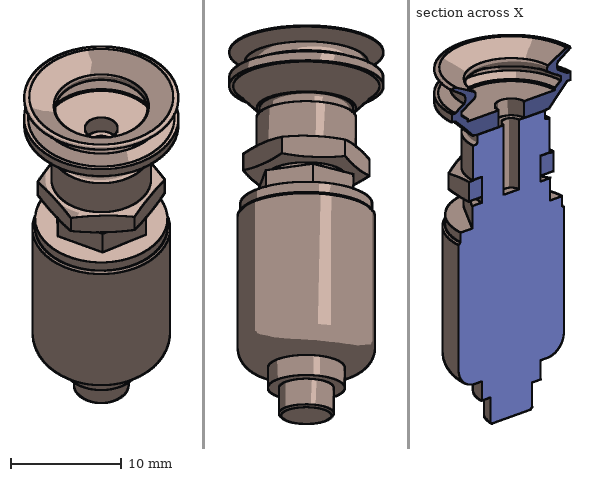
import cadquery as cq
import math

tail_top = 2.67
shoulder_top = 4.6
barrel_top = 19.38
disc_top = 20.35
hex_top = 22.6
nut_bottom = 23.13
nut_top = 25.13
collar_top = 28.65
neck_top = 29.6
cup_floor = 31.27
flange_bottom = 31.7
flange_top = 32.55
waist_bottom = 33.17
waist_top = 34.0
total_height = 35.1

tail_diameter = 5.0
tail_chamfer = 0.2
shoulder_diameter = 7.0
barrel_diameter = 12.5
barrel_bottom_fillet = 2.0
barrel_top_chamfer = 0.2
disc_diameter = 12.0
hex_across_flats = 8.0
thread_diameter = 7.0
collar_diameter = 9.05
neck_diameter = 8.0
neck_fillet = 0.25
port_diameter = 1.8
port_bottom = hex_top

nut_across_flats = 10.0
nut_chamfer_height = 0.2
nut_face_diameter = 10.1

cup_diameter = 14.0
cup_base_diameter = 9.0
cup_hole_diameter = 3.0
flange_cone_radius = 6.65
waist_end_radius = 5.58
waist_radius = 5.45
rim_round = 0.18
rim_inner_radius = 6.53
throat_top = 33.98
throat_bottom = 33.3
throat_end_radius = 4.3
throat_radius = 4.18
chamber_radius = 5.83
chamber_top = 32.43
chamber_bottom = 32.0
floor_radius = 5.12
floor_wall_height = 0.2


def cylinder(diameter, bottom, top):
    return cq.Workplane("XY").workplane(offset=bottom).circle(diameter / 2).extrude(top - bottom)


def hexagon(across_flats, bottom, top):
    """Hexagonal prism with two corners on the X axis."""
    across_corners = across_flats / math.cos(math.pi / 6)
    return cq.Workplane("XY").workplane(offset=bottom).polygon(6, across_corners).extrude(top - bottom)


def make_neck():
    """Cylinder that flares out through a concave fillet at each end."""
    radius = neck_diameter / 2
    flare_radius = radius + neck_fillet
    arc_inset = neck_fillet * (1 - math.sqrt(0.5))
    return (
        cq.Workplane("XZ")
        .moveTo(0, collar_top)
        .lineTo(flare_radius, collar_top)
        .threePointArc((radius + arc_inset, collar_top + arc_inset), (radius, collar_top + neck_fillet))
        .lineTo(radius, neck_top - neck_fillet)
        .threePointArc((radius + arc_inset, neck_top - arc_inset), (flare_radius, neck_top))
        .lineTo(0, neck_top)
        .close()
        .revolve(360, (0, 0, 0), (0, 1, 0))
    )


def make_holder():
    tail = cylinder(tail_diameter, 0, tail_top).faces("<Z").chamfer(tail_chamfer)
    shoulder = cylinder(shoulder_diameter, tail_top, shoulder_top)
    barrel = cylinder(barrel_diameter, shoulder_top, barrel_top)
    barrel = barrel.faces("<Z").edges().fillet(barrel_bottom_fillet)
    barrel = barrel.faces(">Z").edges().chamfer(barrel_top_chamfer)
    disc = cylinder(disc_diameter, barrel_top, disc_top)
    wrench_hex = hexagon(hex_across_flats, disc_top, hex_top).rotate((0, 0, 0), (0, 0, 1), 90)
    thread = cylinder(thread_diameter, hex_top, nut_top)
    collar = cylinder(collar_diameter, nut_top, collar_top)
    port = cylinder(port_diameter, port_bottom, neck_top)
    holder = tail
    for section in (shoulder, barrel, disc, wrench_hex, thread, collar, make_neck()):
        holder = holder.union(section)
    return holder.cut(port)


def make_nut():
    """Hexagonal nut with conically chamfered corners on both faces."""
    corner_radius = nut_across_flats / 2 / math.cos(math.pi / 6)
    face_radius = nut_face_diameter / 2
    chamfer_envelope = (
        cq.Workplane("XZ")
        .moveTo(0, nut_bottom)
        .lineTo(face_radius, nut_bottom)
        .lineTo(corner_radius, nut_bottom + nut_chamfer_height)
        .lineTo(corner_radius, nut_top - nut_chamfer_height)
        .lineTo(face_radius, nut_top)
        .lineTo(0, nut_top)
        .close()
        .revolve(360, (0, 0, 0), (0, 1, 0))
    )
    blank = hexagon(nut_across_flats, nut_bottom, nut_top).intersect(chamfer_envelope)
    return blank.cut(cylinder(thread_diameter, nut_bottom, nut_top))


def make_cup():
    """Bellows cup, revolved from its wall section."""
    outer_radius = cup_diameter / 2
    hole_radius = cup_hole_diameter / 2
    rim_arc_inset = rim_round * (1 - math.sqrt(0.5))
    return (
        cq.Workplane("XZ")
        .moveTo(hole_radius, neck_top)
        .lineTo(cup_base_diameter / 2, neck_top)
        .lineTo(flange_cone_radius, flange_bottom)
        .lineTo(outer_radius, flange_bottom)
        .lineTo(outer_radius, flange_top)
        .lineTo(flange_cone_radius, flange_top)
        .lineTo(waist_end_radius, waist_bottom)
        .threePointArc((waist_radius, (waist_bottom + waist_top) / 2), (waist_end_radius, waist_top))
        .lineTo(outer_radius, total_height - rim_round)
        .threePointArc(
            (outer_radius - rim_arc_inset, total_height - rim_arc_inset),
            (outer_radius - rim_round, total_height),
        )
        .lineTo(rim_inner_radius, total_height)
        .lineTo(throat_end_radius, throat_top)
        .threePointArc((throat_radius, (throat_top + throat_bottom) / 2), (throat_end_radius, throat_bottom))
        .lineTo(chamber_radius, chamber_top)
        .lineTo(chamber_radius, chamber_bottom)
        .lineTo(floor_radius, cup_floor + floor_wall_height)
        .lineTo(floor_radius, cup_floor)
        .lineTo(hole_radius, cup_floor)
        .close()
        .revolve(360, (0, 0, 0), (0, 1, 0))
    )


holder = make_holder()
nut = make_nut()
cup = make_cup()

result = cq.Compound.makeCompound([holder.val(), nut.val(), cup.val()])